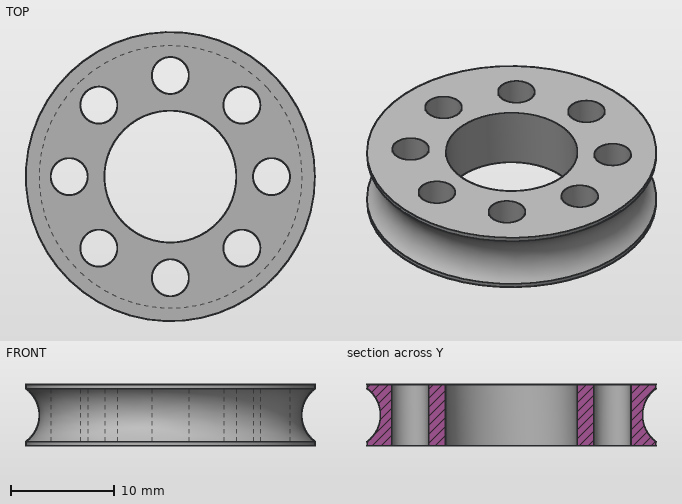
import cadquery as cq

outer_diameter = 28.0
width = 5.95
bore_diameter = 12.74

rim_land = 0.42
groove_depth = 1.3

hole_count = 8
hole_diameter = 3.55
hole_circle_diameter = 19.57

outer_radius = outer_diameter / 2
bore_radius = bore_diameter / 2
half_width = width / 2
groove_half_width = half_width - rim_land


def grooved_ring():
    """Revolve the ring section, with its arc groove, about Z."""
    section = (
        cq.Workplane("XZ")
        .moveTo(bore_radius, -half_width)
        .lineTo(outer_radius, -half_width)
        .lineTo(outer_radius, -groove_half_width)
        .threePointArc((outer_radius - groove_depth, 0), (outer_radius, groove_half_width))
        .lineTo(outer_radius, half_width)
        .lineTo(bore_radius, half_width)
        .close()
    )
    return section.revolve(360, (0, 0, 0), (0, 1, 0))


def drill_lightening_holes(ring):
    """Drill the evenly spaced holes through the full width."""
    return (
        ring.faces(">Z")
        .workplane(origin=(0, 0, half_width))
        .polarArray(hole_circle_diameter / 2, 0, 360, hole_count)
        .hole(hole_diameter)
    )


result = drill_lightening_holes(grooved_ring())